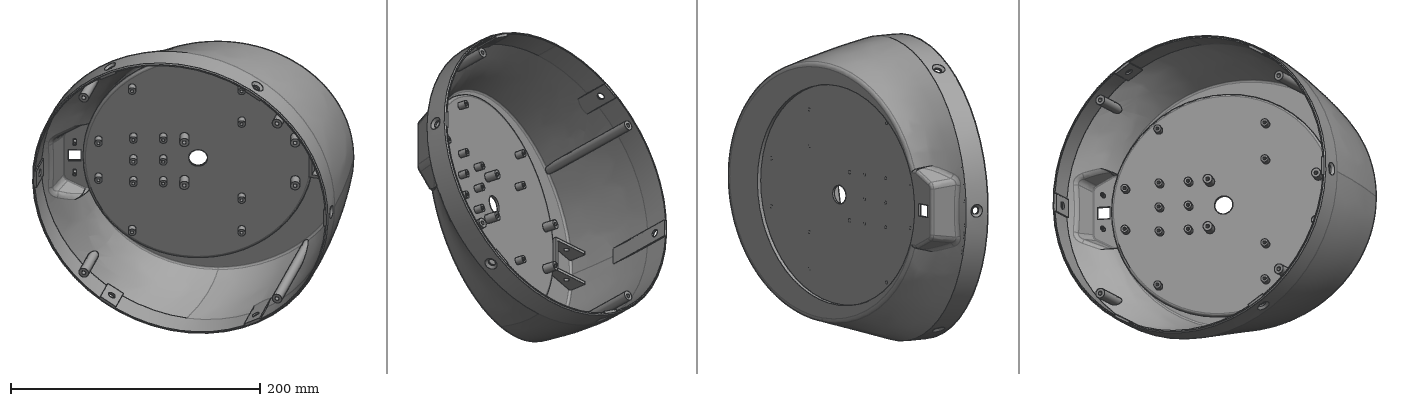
import cadquery as cq
import math


slab_size = 400.0
clearance = 1.0

base_radius = 123.07
band_height = 21.0
rim_chamfer = 1.0
wall = 2.0

tilt = 15.0
tilt_sin = math.sin(math.radians(tilt))
tilt_cos = math.cos(math.radians(tilt))
tilt_tan = math.tan(math.radians(tilt))
face_height = 75.32
face_center_x = 11.0
face_radius = 105.0
high_side_bow = 1.8
low_side_bow = 5.5
face_fillet = 4.0
wall_lean_factor = 0.75

recess_center_x = -5.2
recess_radius = 89.5
recess_depth = 3.7
disc_radius = 92.5
disc_edge_fillet = 2.0
floor_depth = recess_depth + wall
center_hole_diameter = 15.0

bulge_front_x = -110.4
bulge_front_half_width = 22.0
bulge_flare_x = -93.0
bulge_flare_half_width = 33.0
bulge_back_x = -75.0
bulge_ref_y = face_height + bulge_front_x * tilt_tan
bulge_bottom_y = 10.0
bulge_top_y = 60.0
bulge_draft = 14.0
bulge_corner_radius = 6.5
bulge_edge_fillet = 3.0
bulge_blend = 5.0
foot_min_y = 26.0
foot_max_y = 32.0
flank_max_y = 44.0
flank_min_z = 27.0
flank_max_z = 49.0

inner_edge_radius = 1.8
inner_bulge_radius = 1.0
inner_blend_radius = 6.0

switch_hole_x = -101.0
switch_hole_size = 10.0
switch_screw_spacing = 28.0
switch_post_diameter = 3.0
switch_post_height = 6.0
switch_post_hole = 1.5

small_post_diameter = 6.0
small_post_height = 6.4
small_post_hole = 2.5
large_post_diameter = 7.5
large_post_height = 9.8
large_post_hole = 3.0
small_posts = (
    [(u, z) for u in (-53.0, 35.0) for z in (-65.0, 65.0)]
    + [(35.0, z) for z in (-35.0, 35.0)]
    + [(-80.0, z) for z in (-17.0, 17.0)]
    + [(u, z) for u in (-52.0, -28.0) for z in (-20.0, 0.0, 20.0)]
)
large_posts = [(u, z) for u in (-11.0, 78.0) for z in (-19.7, 19.7)]

bracket_x = 83.1
bracket_end_x = 115.7
bracket_half_width = 15.4
bracket_wall = 2.5
bracket_end_y = 88.3
bracket_hole_x = 100.0
bracket_hole_y = 93.5
bracket_hole_diameter = 4.4

column_offset = 80.5
column_diameter = 8.0
column_hole = 3.2
column_hole_depth = 15.0
column_start_y = 1.0
column_top_y = 95.0

side_hole_count = 6
side_hole_y = 11.25
side_hole_diameter = 6.0
side_sink_diameter = 10.5
side_sink_depth = 2.0
pad_distance = 119.6
pad_width = 15.0
pad_height = 60.0


def face_plane(x, depth=0.0):
    """Plane parallel to the face, `depth` below it: local x up the slope, normal outward.

    The origin lies on the face normal through the face point at X = x.
    """
    origin = (x + depth * tilt_sin, face_height + x * tilt_tan - depth * tilt_cos, 0)
    return cq.Plane(origin=origin, xDir=(tilt_cos, tilt_sin, 0), normal=(-tilt_sin, tilt_cos, 0))


def section(fraction, inset, top_y):
    """Ellipse wire part of the way from the band circle to the face outline."""
    lower = base_radius - inset
    upper = face_radius - inset * wall_lean_factor
    radius = lower + (upper - lower) * fraction
    bow = 4 * fraction * (1 - fraction)
    shift = bow * (low_side_bow + high_side_bow) / 2
    x_radius = radius - bow * (low_side_bow - high_side_bow) / 2
    slope = fraction * upper * tilt_tan / x_radius
    center_y = band_height + (top_y + face_center_x * tilt_tan - band_height) * fraction
    length = math.hypot(1, slope)
    edge = cq.Edge.makeEllipse(
        x_radius * length,
        radius,
        cq.Vector(face_center_x * fraction + shift, center_y, 0),
        cq.Vector(-slope / length, 1 / length, 0),
        cq.Vector(1 / length, slope / length, 0),
    )
    return cq.Wire.assembleEdges([edge])


def dome(inset):
    """Band cylinder and the sloping wall solid above it, moved inward by `inset`."""
    band = cq.Solid.makeCylinder(
        base_radius - inset, band_height, cq.Vector(0, 0, 0), cq.Vector(0, 1, 0)
    )
    top_y = face_height - inset / tilt_cos
    bottom, middle, top = 0, 0.5, 1
    wires = [section(fraction, inset, top_y) for fraction in (bottom, middle, top)]
    return cq.Workplane(band), cq.Workplane(cq.Solid.makeLoft(wires))


def bulge(inset):
    """Tapered block for the switch, inset like the dome and trimmed by the face."""
    outline = [
        (bulge_back_x, bulge_flare_half_width),
        (bulge_flare_x, bulge_flare_half_width),
        (bulge_front_x, bulge_front_half_width),
        (bulge_front_x, -bulge_front_half_width),
        (bulge_flare_x, -bulge_flare_half_width),
        (bulge_back_x, -bulge_flare_half_width),
    ]
    spread = math.tan(math.radians(bulge_draft))

    def level(y):
        grow = (bulge_ref_y - y) * spread - inset
        profile = cq.Workplane("XZ", origin=(0, y, 0)).polyline(outline).close()
        return profile.offset2D(grow, "intersection").val()

    block = cq.Workplane(cq.Solid.makeLoft([level(bulge_bottom_y), level(bulge_top_y)], True))
    corners = cq.selectors.BoxSelector(
        (-slab_size, bulge_bottom_y + clearance, -slab_size),
        (bulge_flare_x - clearance, bulge_top_y - clearance, slab_size),
    )
    block = block.edges(corners).fillet(bulge_corner_radius)
    above = face_plane(face_center_x, inset)
    return block.cut(cq.Workplane(above).rect(slab_size, slab_size).extrude(slab_size))


def rounded_form(inset, edge_radius, bulge_radius, blend_radius):
    """Solid under the wall surface moved inward by `inset`: band, sloping dome and bulge."""
    band, loft = dome(inset)
    loft = loft.faces(">Y").edges().fillet(edge_radius)
    block = bulge(inset)
    face_side = cq.DirectionMinMaxSelector(face_plane(0).zDir, True)
    front_edges = cq.selectors.BoxSelector(
        (-slab_size, -slab_size, -slab_size), (bulge_back_x - clearance, slab_size, slab_size)
    )
    block = block.faces(face_side).edges(front_edges).fillet(bulge_radius)
    body = loft.union(block)
    foot = cq.selectors.BoxSelector(
        (-slab_size, foot_min_y, -slab_size), (bulge_flare_x, foot_max_y, slab_size)
    )
    upper_flank = cq.selectors.BoxSelector(
        (-slab_size, foot_min_y, flank_min_z), (bulge_flare_x, flank_max_y, flank_max_z)
    )
    lower_flank = cq.selectors.BoxSelector(
        (-slab_size, foot_min_y, -flank_max_z), (bulge_flare_x, flank_max_y, -flank_min_z)
    )
    body = body.edges(foot + upper_flank + lower_flank).fillet(blend_radius)
    return body.union(band)


def recess_plane(depth):
    """Plane parallel to the face, centred on the recess axis."""
    return face_plane(recess_center_x, depth)


def tilted_cylinder(offset, z, diameter, depth_from, depth_to):
    """Cylinder square to the face, between two depths below it."""
    disk = cq.Workplane(recess_plane(depth_from)).center(offset, z).circle(diameter / 2)
    return disk.extrude(depth_from - depth_to)


def cavity():
    """Hollow inside the wall; the disc behind the recess stands into it."""
    hollow = rounded_form(wall, inner_edge_radius, inner_bulge_radius, inner_blend_radius)
    disc = tilted_cylinder(0, 0, 2 * disc_radius, floor_depth, 0)
    inner_face = cq.DirectionMinMaxSelector(face_plane(0).zDir, False)
    return hollow.cut(disc.faces(inner_face).edges().fillet(disc_edge_fillet))


def post_cylinders(places, diameter, height):
    """Cylinders of one size on the inside of the disc, for standoffs or their screw holes."""
    return [
        tilted_cylinder(offset, z, diameter, floor_depth + height, floor_depth - clearance)
        for offset, z in places
    ]


def bracket():
    """U-shaped rib behind the face, open towards the high wall, with a hole in each arm."""
    length = bracket_end_x - bracket_x
    middle_x = (bracket_end_x + bracket_x) / 2
    base = cq.Workplane("XZ", origin=(middle_x, bracket_end_y, 0))
    skin_middle = cq.Workplane(recess_plane(wall / 2))
    above = skin_middle.rect(slab_size, slab_size).extrude(slab_size)
    outer = base.rect(length, 2 * bracket_half_width).extrude(-slab_size)
    inner = (
        base.center(bracket_wall, 0)
        .rect(length, 2 * (bracket_half_width - bracket_wall))
        .extrude(-slab_size)
    )
    hole = (
        cq.Workplane("XY")
        .center(bracket_hole_x, bracket_hole_y)
        .circle(bracket_hole_diameter / 2)
        .extrude(bracket_half_width, both=True)
    )
    return outer.cut(inner).cut(hole).cut(above)


def columns(diameter, end_y):
    """Screw columns, or their holes, parallel to Y at the corners of a square."""
    length = end_y - column_start_y
    return [
        cq.Workplane("XZ", origin=(x, column_start_y, z)).circle(diameter / 2).extrude(-length)
        for x in (-column_offset, column_offset)
        for z in (-column_offset, column_offset)
    ]


def around_axis(shape):
    """Copies of a shape at every side hole position."""
    step = 360 / side_hole_count
    return [shape.rotate((0, 0, 0), (0, 1, 0), i * step) for i in range(side_hole_count)]


def pad():
    """Flat pad inside the band at the +X side hole."""
    depth = base_radius - pad_distance
    block = cq.Workplane("XY").box(depth, pad_height, pad_width, centered=(False, False, True))
    return block.translate((pad_distance, 0, 0))


def side_hole():
    """Countersunk radial hole at the +X side."""
    inner_end = pad_distance - clearance
    sink_start = base_radius - side_sink_depth
    outer_end = base_radius + clearance
    profile = [
        (inner_end, 0),
        (inner_end, side_hole_diameter / 2),
        (sink_start, side_hole_diameter / 2),
        (base_radius, side_sink_diameter / 2),
        (outer_end, side_sink_diameter / 2),
        (outer_end, 0),
    ]
    hole = cq.Workplane("XY").polyline(profile).close().revolve(360, (0, 0, 0), (1, 0, 0))
    return hole.translate((0, side_hole_y, 0))


def switch_opening():
    """Square hole through the face of the bulge."""
    inside = cq.Workplane(face_plane(switch_hole_x, 2 * wall))
    return inside.rect(switch_hole_size, switch_hole_size).extrude(4 * wall)


def switch_posts(diameter):
    """Two small standoffs beside the switch opening, or their screw holes."""
    half_spacing = switch_screw_spacing / 2
    ends = cq.Workplane(face_plane(switch_hole_x, wall + switch_post_height))
    posts = ends.pushPoints([(0, half_spacing), (0, -half_spacing)]).circle(diameter / 2)
    return [posts.extrude(switch_post_height)]


def solids_of(parts):
    """List of all the solids held by several workplanes."""
    return [solid for part in parts for solid in part.solids().vals()]


outside = rounded_form(0, face_fillet, bulge_edge_fillet, bulge_blend)
outside = outside.faces("<Y").edges().chamfer(rim_chamfer).val()

fittings = columns(column_diameter, column_top_y) + around_axis(pad()) + [bracket()]
fittings += post_cylinders(small_posts, small_post_diameter, small_post_height)
fittings += post_cylinders(large_posts, large_post_diameter, large_post_height)
fittings += switch_posts(switch_post_diameter)
hollow = cavity().val().cut(*solids_of(fittings))

holes = post_cylinders(small_posts, small_post_hole, small_post_height)
holes += post_cylinders(large_posts, large_post_hole, large_post_height)
holes += switch_posts(switch_post_hole)
holes += columns(column_hole, column_start_y + column_hole_depth)
holes += around_axis(side_hole())
holes.append(switch_opening())
holes.append(tilted_cylinder(0, 0, 2 * recess_radius, recess_depth, -wall))
holes.append(tilted_cylinder(0, 0, center_hole_diameter, floor_depth + wall, 0))

result = cq.Workplane(outside.cut(hollow).cut(*solids_of(holes)))